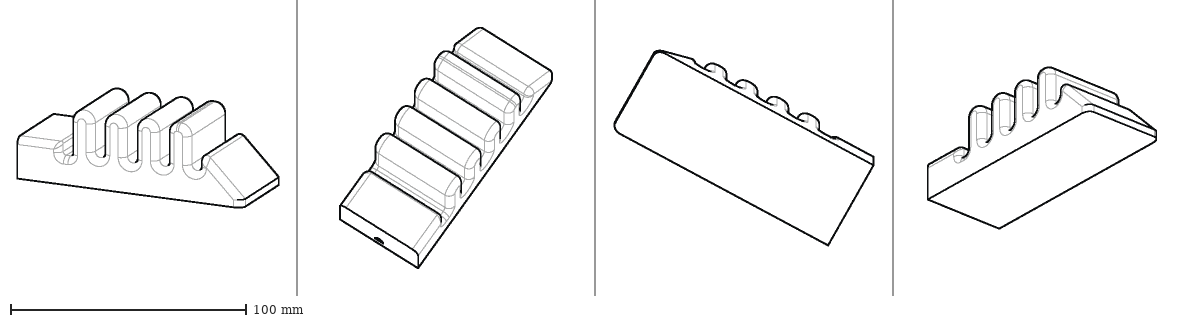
import cadquery as cq
import math

length = 105.1
width = 40.0
height = 33.5

block_height = 18.4
block_length = 20.0
fin_width = 10.0
slot_width = 5.0
fin_radius = fin_width / 2
slot_radius = slot_width / 2
pitch = fin_width + slot_width

slot_floors = [12.4, 13.3, 12.9, 13.3, 13.3]
first_slot_corner_radius = 1.5
fin_count = len(slot_floors) - 1

last_fin_flat = 0.9
last_fin_small_radius = fin_width - last_fin_flat - fin_radius

foot_height = 3.5
ramp_start = block_length + fin_count * pitch + slot_width
ramp_foot = length + foot_height

side_radius = 3.0
block_lip_radius = 0.9
ramp_lip_radius = 2.0

mark_radius = 2.1
mark_base = foot_height
mark_depth = 0.1

tolerance = 0.01


def add_slot(outline, left, floor, radius):
    """Go down the slot, across its floor and up to the tangent level on the right."""
    right = left + slot_width
    outline = outline.lineTo(left, floor + radius)
    outline = outline.radiusArc((left + radius, floor), -radius)
    if radius < slot_radius:
        outline = outline.lineTo(right - radius, floor)
    return outline.radiusArc((right, floor + radius), -radius)


def add_fin(outline, left, left_radius):
    """Go up the fin, over its crest and down to the tangent level on the right."""
    right = left + fin_width
    outline = outline.lineTo(left, height - left_radius)
    outline = outline.radiusArc((left + left_radius, height), left_radius)
    if left_radius < fin_radius:
        outline = outline.lineTo(right - fin_radius, height)
    return outline.radiusArc((right, height - fin_radius), fin_radius)


def add_ramp(outline):
    """Go up to the lip, round it and run down the ramp to the base level."""
    lip_x = ramp_start + ramp_lip_radius
    lip_z = ramp_foot - lip_x - ramp_lip_radius * math.sqrt(2)
    tangent_offset = ramp_lip_radius * math.sqrt(0.5)
    return (
        outline.lineTo(ramp_start, lip_z)
        .radiusArc((lip_x + tangent_offset, lip_z + tangent_offset), ramp_lip_radius)
        .lineTo(ramp_foot, 0)
    )


def make_stepped_bar():
    """Extrude the side outline across the full width."""
    outline = (
        cq.Workplane("XZ")
        .moveTo(0, 0)
        .lineTo(0, block_height)
        .lineTo(block_length - block_lip_radius, block_height)
        .radiusArc((block_length, block_height - block_lip_radius), block_lip_radius)
    )
    for index, floor in enumerate(slot_floors):
        slot_left = block_length + index * pitch
        floor_radius = first_slot_corner_radius if index == 0 else slot_radius
        outline = add_slot(outline, slot_left, floor, floor_radius)
        if index < fin_count:
            crest_radius = last_fin_small_radius if index == fin_count - 1 else fin_radius
            outline = add_fin(outline, slot_left + slot_width, crest_radius)
    return add_ramp(outline).close().extrude(width / 2, both=True)


def is_upper_side_edge(edge):
    """True for side-face edges other than the base and the block's upright end."""
    box = edge.BoundingBox()
    on_side_face = box.ylen < tolerance
    on_base = box.zmax < tolerance
    on_block_end = box.xmax < tolerance
    return on_side_face and not on_base and not on_block_end


def round_sides(bar):
    """Round both side edges all along the stepped top."""
    side_edges = [edge for edge in bar.edges().vals() if is_upper_side_edge(edge)]
    return bar.newObject(side_edges).fillet(side_radius)


def make_foot_plate():
    """Base layer whose corners carry the ramp's side rounding straight down.

    A level cut through the 45 degree rounding is a quarter ellipse, so the
    corners are elliptical and meet the ramp exactly.
    """
    corner_length = side_radius * math.sqrt(2)
    corner_x = length - corner_length
    corner_y = width / 2 - side_radius
    plate = cq.Workplane("XY").box(corner_x, width, foot_height, centered=(False, True, False))
    tip = cq.Workplane("XY").box(length, 2 * corner_y, foot_height, centered=(False, True, False))
    corners = (
        cq.Workplane("XY")
        .pushPoints([(corner_x, -corner_y), (corner_x, corner_y)])
        .ellipse(corner_length, side_radius)
        .extrude(foot_height)
    )
    return plate.union(tip).union(corners)


def make_mark():
    """Half-round recess, flat side down, in the middle of the block's end face."""
    return (
        cq.Workplane("YZ")
        .moveTo(-mark_radius, mark_base)
        .threePointArc((0, mark_base + mark_radius), (mark_radius, mark_base))
        .close()
        .extrude(mark_depth)
    )


above_foot = cq.Workplane("XY", origin=(0, 0, foot_height)).box(
    length, width, height, centered=(False, True, False)
)
upper_part = round_sides(make_stepped_bar()).intersect(above_foot)
result = upper_part.union(make_foot_plate()).cut(make_mark()).clean()